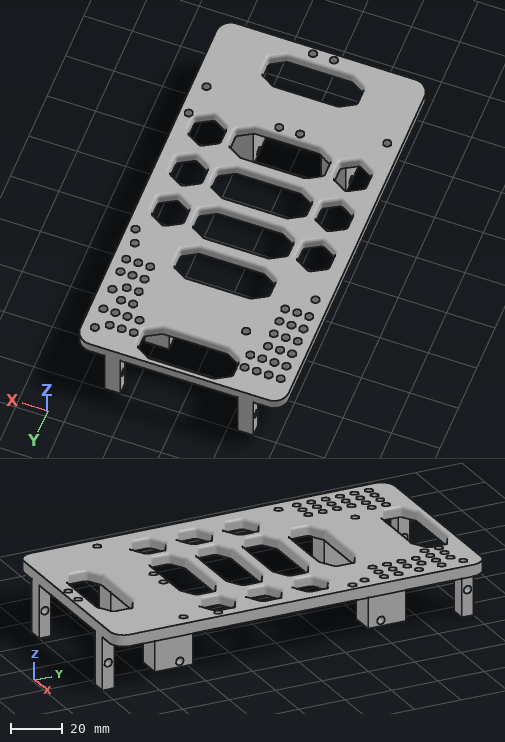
import cadquery as cq
import math

PLATE_WIDTH = 86.0
PLATE_LENGTH = 160
PLATE_THICKNESS = 5.0
CORNER_RADIUS = 6.0
OVERALL_HEIGHT = 27.5
LEG_HEIGHT = OVERALL_HEIGHT - PLATE_THICKNESS

LEG_INNER_X = 24.2
LEG_OUTER_X = 30.7
LEG_DEPTH = 5.1
BLOCK_INNER_X = 14.0
BLOCK_INNER_Y = 37.8
BLOCK_DEPTH = 16.3

HOLE_DIAMETER = 3.2
BLOCK_HOLE_Y = 43.4
BLOCK_HOLE_SPACING = 17.6

SLOPE_ANGLE = 30
HEX_ACROSS_FLATS = 13.3
HEX_ACROSS_CORNERS = HEX_ACROSS_FLATS / math.cos(math.radians(SLOPE_ANGLE))
SLOT_LENGTH = 39.4
SLOT_HEIGHT = 14.9
SLOT_STRAIGHT = 26.9
WINDOW_CORNER_RADIUS = 1.6
WINDOW_FILLET = 1.6
WINDOW_PITCH = 20.0
HEX_X = 1.5 * WINDOW_PITCH
REAR_SLOT_Y = 70.0
FRONT_SLOT_Y = -65.8

GRID_OUTER_X = 37.8
GRID_COLUMN_PITCH = 5.0
GRID_REAR_Y = 69.0
GRID_FRONT_Y = 38.0
GRID_ROWS = 6
GRID_ROW_PITCH = (GRID_REAR_Y - GRID_FRONT_Y) / (GRID_ROWS - 1)
LEFT_GRID_COLUMNS = [range(4), range(4), range(3), range(3), range(3), range(3)]
RIGHT_GRID_COLUMNS = [range(1, 4), range(4), range(1, 3), range(1, 3), range(3), range(3)]

REAR_MOUNT = (GRID_OUTER_X, 72)
MIDDLE_MOUNT_Y = 53.0
BLIND_MOUNT_X = -17.5
SIDE_HOLE_X = 37.3
SIDE_HOLE_YS = (29.8, -48.3)
EDGE_HOLE_X = 39.4
EDGE_HOLE_YS = (23.5, -34.4)
PAIR_HOLE_X = 4.3
PAIR_HOLE_YS = (-40.5, -77.3)


def make_plate():
    plate = cq.Workplane("XY").box(
        PLATE_WIDTH, PLATE_LENGTH, PLATE_THICKNESS, centered=(True, True, False)
    )
    return plate.edges("|Z").fillet(CORNER_RADIUS)


def window_cutter(x, y, length, height, straight):
    """Prism with sides along Y joined by sloping sides to edges along X, or to points if straight is 0."""
    side_x = length / 2
    end_x = straight / 2
    rear_y = height / 2
    side_y = rear_y - (side_x - end_x) * math.tan(math.radians(SLOPE_ANGLE))
    rear = [(end_x, rear_y), (-end_x, rear_y)] if straight else [(0, rear_y)]
    half_outline = [(side_x, side_y)] + rear + [(-side_x, side_y)]
    outline = half_outline + [(-px, -py) for px, py in half_outline]
    prism = cq.Workplane("XY").center(x, y).polyline(outline).close().extrude(PLATE_THICKNESS)
    return prism.edges("|Z").fillet(WINDOW_CORNER_RADIUS)


def cut_windows(plate):
    slot_rows = [(row - 1.5) * WINDOW_PITCH for row in range(4)]
    for y in slot_rows + [REAR_SLOT_Y, FRONT_SLOT_Y]:
        plate = plate.cut(window_cutter(0, y, SLOT_LENGTH, SLOT_HEIGHT, SLOT_STRAIGHT))
    for y in slot_rows[:-1]:
        for x in (-HEX_X, HEX_X):
            plate = plate.cut(window_cutter(x, y, HEX_ACROSS_FLATS, HEX_ACROSS_CORNERS, 0))
    top = plate.faces(">Z").val()
    rim_edges = [edge for wire in top.innerWires() for edge in wire.Edges()]
    return plate.newObject(rim_edges).fillet(WINDOW_FILLET)


def plate_hole_points():
    points = []
    for side, columns_by_row in ((-1, LEFT_GRID_COLUMNS), (1, RIGHT_GRID_COLUMNS)):
        for row, columns in enumerate(columns_by_row):
            y = GRID_REAR_Y - row * GRID_ROW_PITCH
            points += [(side * (GRID_OUTER_X - c * GRID_COLUMN_PITCH), y) for c in columns]
    points += [REAR_MOUNT, (GRID_OUTER_X, MIDDLE_MOUNT_Y), (BLIND_MOUNT_X, MIDDLE_MOUNT_Y)]
    points += [(side * SIDE_HOLE_X, y) for y in SIDE_HOLE_YS for side in (-1, 1)]
    points += [(EDGE_HOLE_X, y) for y in EDGE_HOLE_YS]
    points += [(side * PAIR_HOLE_X, y) for y in PAIR_HOLE_YS for side in (-1, 1)]
    return points


def drill_plate(plate):
    drills = (
        cq.Workplane("XY")
        .pushPoints(plate_hole_points())
        .circle(HOLE_DIAMETER / 2)
        .extrude(PLATE_THICKNESS)
    )
    return plate.cut(drills)


def four_supports(inner_x, outer_x, inner_y, outer_y):
    """One rectangular support in each quadrant, hanging from the plate underside."""
    centre_x = (inner_x + outer_x) / 2
    centre_y = (inner_y + outer_y) / 2
    return (
        cq.Workplane("XY")
        .rect(2 * centre_x, 2 * centre_y, forConstruction=True)
        .vertices()
        .rect(outer_x - inner_x, outer_y - inner_y)
        .extrude(-LEG_HEIGHT)
    )


def cross_drills():
    """Cylinders along X through the middle of the legs and near both ends of the blocks."""
    middle_z = -LEG_HEIGHT / 2
    leg_hole_y = (PLATE_LENGTH - LEG_DEPTH) / 2
    points = []
    for side in (-1, 1):
        points.append((side * leg_hole_y, middle_z))
        for end in (-1, 1):
            points.append((side * BLOCK_HOLE_Y, middle_z + end * BLOCK_HOLE_SPACING / 2))
    return (
        cq.Workplane("YZ")
        .pushPoints(points)
        .circle(HOLE_DIAMETER / 2)
        .extrude(PLATE_WIDTH / 2, both=True)
    )


plate = drill_plate(cut_windows(make_plate()))
half_length = PLATE_LENGTH / 2
legs = four_supports(LEG_INNER_X, LEG_OUTER_X, half_length - LEG_DEPTH, half_length)
blocks = four_supports(BLOCK_INNER_X, LEG_INNER_X, BLOCK_INNER_Y, BLOCK_INNER_Y + BLOCK_DEPTH)
supports = legs.union(blocks).cut(cross_drills())
result = plate.union(supports)